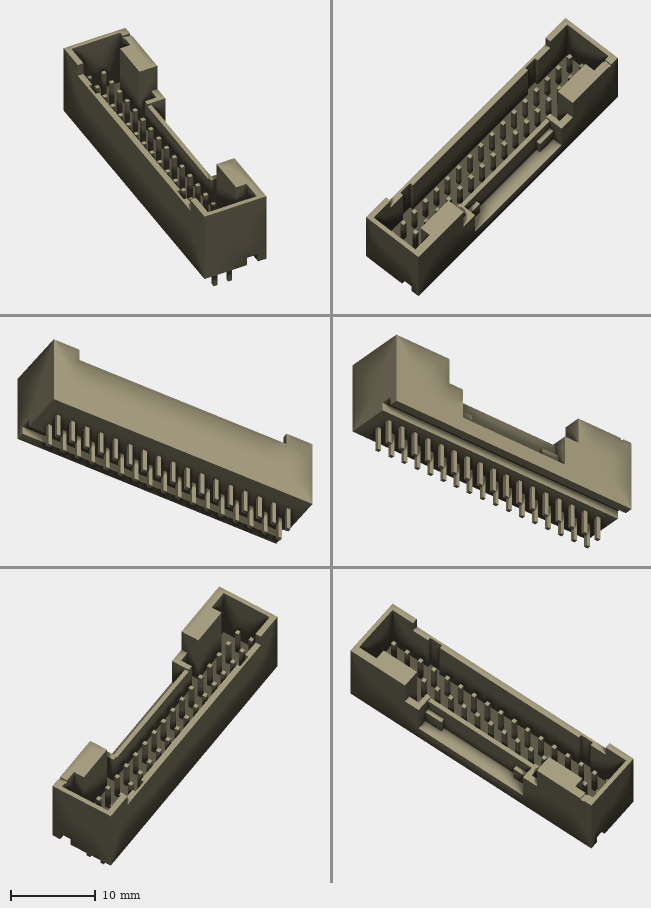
import cadquery as cq


length = 36.0
depth = 8.3
height = 9.55
end_wall = 0.55
front_wall = 0.75
back_wall = 1.0
floor_height = 2.0

columns = 17
pitch = 2.0
row_positions = (2.4, 4.35)
pin_width = 0.5
pin_top = 5.63
total_height = 12.7
pin_bottom = height - total_height

front_opening_length = 28.8
front_opening_height = 7.9
key_slot_start = 10.4
key_slot_end = 12.15
key_slot_depth = 0.45

block_start = 9.85
block_end = 14.85
block_reach = 2.4

corner_wall_top = 6.05
corner_back_thickness = 0.85
corner_side_thickness = 0.65
recess_half_length = 7.8
screen_top = 5.72
screen_thickness = 0.55
ledge_length = 2.4
ledge_thickness = 0.55
ledge_top = 4.0

channel_height = 1.1
channel_start = 5.7
channel_width = 1.5

groove_start = -16.8
groove_width = 0.43
groove_depth = 0.25

inner_back_face = depth - block_reach


def box(x_range, y_range, z_range):
    """Box spanning the given (low, high) limits on each axis."""
    (x0, x1), (y0, y1), (z0, z1) = x_range, y_range, z_range
    return cq.Workplane("XY").box(x1 - x0, y1 - y0, z1 - z0, centered=False).translate((x0, y0, z0))


def mirrored_pair(x_range, y_range, z_range):
    """Box on the +X side together with its mirror image on the -X side."""
    right = box(x_range, y_range, z_range)
    return right.union(right.mirror("YZ"))


def make_shell():
    half = length / 2
    outer = box((-half, half), (0, depth), (0, height))
    inner_x = (end_wall - half, half - end_wall)
    cavity = box(inner_x, (front_wall, depth - back_wall), (floor_height, height))
    return outer.cut(cavity)


def make_front_opening():
    half = front_opening_length / 2
    opening = box((-half, half), (0, front_wall), (front_opening_height, height))
    slots = mirrored_pair(
        (key_slot_start, key_slot_end),
        (front_wall - key_slot_depth, front_wall),
        (floor_height, height),
    )
    return opening.union(slots)


def make_guide_blocks():
    return mirrored_pair((block_start, block_end), (inner_back_face, depth), (floor_height, height))


def make_back_opening():
    """Everything above the floor between the two guide blocks, behind the pins."""
    return box((-block_start, block_start), (inner_back_face, depth), (floor_height, height))


def make_corner_walls():
    z_range = (floor_height, corner_wall_top)
    back = mirrored_pair(
        (recess_half_length, block_start), (depth - corner_back_thickness, depth), z_range
    )
    side = mirrored_pair(
        (recess_half_length, recess_half_length + corner_side_thickness),
        (inner_back_face, depth),
        z_range,
    )
    return back.union(side)


def make_screen_wall():
    screen_back = inner_back_face + screen_thickness
    screen = box(
        (-recess_half_length, recess_half_length),
        (inner_back_face, screen_back),
        (floor_height, screen_top),
    )
    ledges = mirrored_pair(
        (recess_half_length - ledge_length, recess_half_length),
        (screen_back, screen_back + ledge_thickness),
        (floor_height, ledge_top),
    )
    return screen.union(ledges)


def make_channel():
    half = length / 2
    return box((-half, half), (channel_start, channel_start + channel_width), (0, channel_height))


def make_groove():
    return box(
        (groove_start, groove_start + groove_width),
        (depth - back_wall, depth),
        (height - groove_depth, height),
    )


def make_pins():
    first_column = -(columns - 1) * pitch / 2
    centers = [(first_column + i * pitch, y) for i in range(columns) for y in row_positions]
    base = cq.Workplane("XY").workplane(offset=pin_bottom)
    return base.pushPoints(centers).rect(pin_width, pin_width).extrude(pin_top - pin_bottom)


housing = make_shell().cut(make_front_opening()).union(make_guide_blocks())
housing = housing.cut(make_back_opening()).union(make_corner_walls()).union(make_screen_wall())
housing = housing.cut(make_channel()).cut(make_groove())
result = housing.union(make_pins())